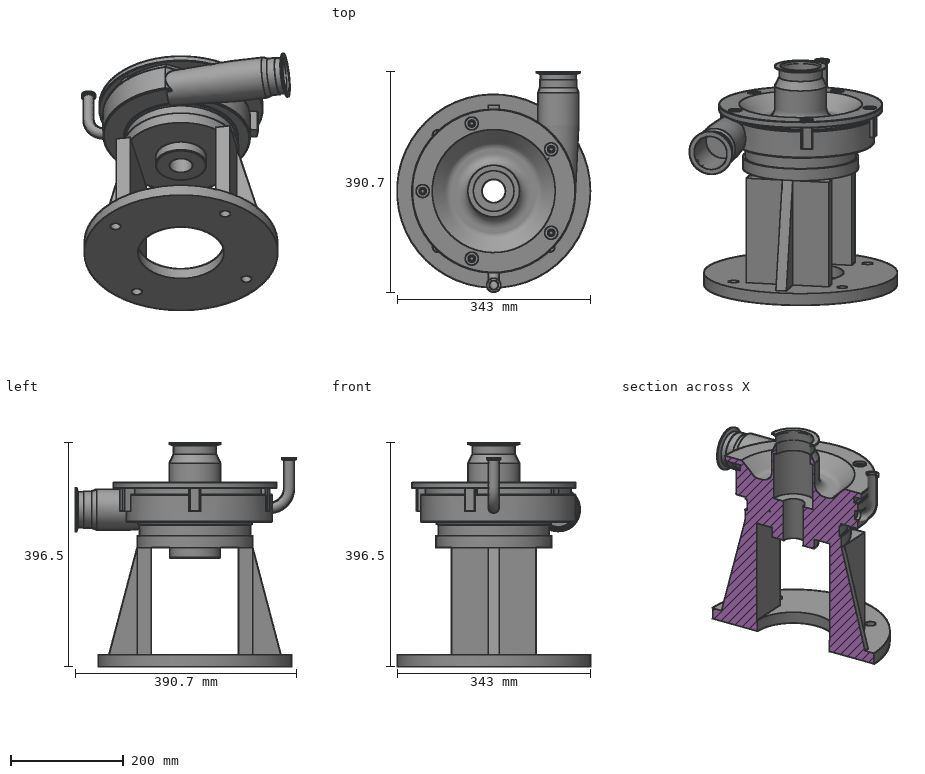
import cadquery as cq
import math

base_top = 21.5
hub_bottom = 192.5
leg_top = 211.0
ring_top = 232.0
collar_bottom = 251.0
body_bottom = 256.0
body_top = 306.0
cover_bottom = 316.0
cover_top = 327.0
inlet_top = 396.5
overlap = 1.0

base_radius = 171.5
base_bore_radius = 76.2
base_hole_circle = 139.7
base_hole_diameter = 18.5
base_hole_count = 4
first_base_hole_angle = 45.0

leg_width = 150.0
leg_thickness = 25.4
leg_outer_y = 102.5
rib_thickness = 19.0
rib_foot_y = 152.4

ring_radius = 102.5
mount_radius = 98.5
collar_radius = 101.5
collar_bevel = 2.0
hub_radius = 45.0
hub_chamfer = 1.5
shaft_bore_radius = 20.5

volute_start_radius = 121.5
volute_growth = 7.85
tongue_angle = 45.0
spiral_steps = 16
body_bevel = 2.0
neck_inset = 8.0

cover_radius = 145.0
cover_chamfer = 1.0
bolt_count = 5
bolt_circle = 125.8
first_bolt_angle = 36.0
counterbore_diameter = 23.0
counterbore_depth = 5.0
bolt_head_diameter = 12.5
bolt_head_height = 3.5
hex_socket_size = 7.0
hex_socket_depth = 2.5
boss_width = 21.0
boss_outer_radius = 137.0
boss_depth = 30.0
boss_bottom = 275.5
boss_chamfer = 2.5

bowl_rim_radius = 109.0
bowl_rim_chamfer = 2.0
bowl_cone_radius = 86.6
bowl_cone_z = 306.0
bowl_floor_outer = 76.0
bowl_floor_inner = 66.0
bowl_floor_z = 300.5
bowl_corner_rise = 1.5

inlet_radius = 45.7
inlet_neck_radius = 38.1
inlet_bore_radius = 36.0
inlet_chamber_radius = 41.0
inlet_cone_bottom = 361.0
inlet_cone_top = 376.5
inlet_step_z = 357.0
inlet_floor_z = 270.0
ferrule_rim = 2.0
ferrule_height = 4.5

outlet_x = 114.5
outlet_z = 278.5
outlet_end_y = 211.5
outlet_flange_radius = 38.8
outlet_neck_radius = 32.0
outlet_band_radius = 33.0
outlet_pipe_radius = 36.2
outlet_throat_radius = 30.5
outlet_bore_radius = 30.0
outlet_neck_y = 197.0
outlet_band_y = 183.0
outlet_pipe_y = 174.0
outlet_taper_y = 117.0

vent_y = -166.7
vent_radius = 9.5
vent_bore_radius = 7.9
vent_bend_radius = 35.0
vent_bend_top = 316.5
vent_top = 370.8
vent_ferrule_radius = 12.5
vent_ferrule_height = 5.0
vent_reach = 10.0


def cylinder(radius, bottom, top):
    return cq.Workplane("XY").workplane(offset=bottom).circle(radius).extrude(top - bottom)


def revolve_about_z(points):
    """Closed (radius, z) outline turned about the Z axis."""
    return cq.Workplane("XZ").polyline(points).close().revolve(360, (0, 0), (0, 1))


def make_base():
    plate = cylinder(base_radius, 0, base_top).cut(cylinder(base_bore_radius, 0, base_top))
    return (
        plate.faces(">Z").workplane(origin=(0, 0, base_top))
        .polarArray(base_hole_circle, first_base_hole_angle, 360, base_hole_count)
        .hole(base_hole_diameter)
    )


def make_leg():
    """Upright slab on the +Y side with its triangular rib."""
    slab = (
        cq.Workplane("XY", origin=(0, leg_outer_y - leg_thickness / 2, base_top - overlap))
        .rect(leg_width, leg_thickness)
        .extrude(leg_top - base_top + overlap)
    )
    rib = (
        cq.Workplane("YZ")
        .polyline([
            (leg_outer_y - overlap, base_top - overlap),
            (rib_foot_y, base_top - overlap),
            (rib_foot_y, base_top),
            (leg_outer_y, leg_top),
            (leg_outer_y - overlap, leg_top),
        ])
        .close()
        .extrude(rib_thickness / 2, both=True)
    )
    return slab.union(rib)


def make_support():
    """Ring on the legs, the collar under the body, and the shaft hub."""
    ring = revolve_about_z([
        (0, leg_top),
        (ring_radius, leg_top),
        (ring_radius, ring_top),
        (mount_radius, ring_top),
        (mount_radius, collar_bottom),
        (collar_radius, collar_bottom + collar_bevel),
        (collar_radius, body_bottom + overlap),
        (0, body_bottom + overlap),
    ])
    hub = cylinder(hub_radius, hub_bottom, ring_top).faces("<Z").chamfer(hub_chamfer)
    return ring.union(hub)


def volute_point(angle, inset):
    radius = volute_start_radius + volute_growth * (angle - 90) / 90 - inset
    turn = math.radians(angle)
    return (radius * math.cos(turn), radius * math.sin(turn))


def volute_outline(inset):
    """Wire of the spiral growing from the tongue round to the outlet on the +X side."""
    sweep = 360 - tongue_angle
    spiral = [volute_point(tongue_angle + sweep * i / spiral_steps, inset) for i in range(spiral_steps + 1)]
    return cq.Workplane("XY").spline(spiral).close().val()


def volute_layer(bottom, bottom_inset, top, top_inset):
    lower = volute_outline(bottom_inset).translate(cq.Vector(0, 0, bottom))
    upper = volute_outline(top_inset).translate(cq.Vector(0, 0, top))
    return cq.Workplane(cq.Solid.makeLoft([lower, upper], True))


def make_body():
    """Spiral body with bevelled rims and a narrower neck reaching the cover."""
    straight_bottom = body_bottom + body_bevel
    straight_top = body_top - body_bevel
    bottom_bevel = volute_layer(body_bottom, body_bevel, straight_bottom, 0)
    wall = volute_layer(straight_bottom, 0, straight_top, 0)
    top_bevel = volute_layer(straight_top, 0, body_top, body_bevel)
    neck = volute_layer(straight_top, neck_inset, cover_bottom + overlap, neck_inset)
    return bottom_bevel.union(wall).union(top_bevel).union(neck)


def bolt_angles():
    return [first_bolt_angle + 360 / bolt_count * i for i in range(bolt_count)]


def make_boss(angle):
    return (
        cq.Workplane("XY", origin=(boss_outer_radius - boss_depth / 2, 0, boss_bottom))
        .rect(boss_depth, boss_width)
        .extrude(cover_bottom + overlap - boss_bottom)
        .edges(">X and |Z")
        .chamfer(boss_chamfer)
        .faces("<Z")
        .edges(">X")
        .chamfer(boss_chamfer / 2)
        .rotate((0, 0, 0), (0, 0, 1), angle)
    )


def make_bolt_recess(angle):
    """Ring-shaped counterbore that leaves a socket-head bolt standing."""
    floor = cover_top - counterbore_depth
    head_top = floor + bolt_head_height
    recess = cylinder(counterbore_diameter / 2, floor, cover_top)
    head = cylinder(bolt_head_diameter / 2, floor, head_top)
    socket = (
        cq.Workplane("XY").workplane(offset=head_top - hex_socket_depth)
        .polygon(6, hex_socket_size / math.cos(math.pi / 6))
        .extrude(hex_socket_depth)
    )
    return (
        recess.cut(head).union(socket)
        .translate((bolt_circle, 0, 0))
        .rotate((0, 0, 0), (0, 0, 1), angle)
    )


def make_cover():
    return cylinder(cover_radius, cover_bottom, cover_top).edges().chamfer(cover_chamfer)


def make_bowl():
    """Space of the dish around the inlet pipe."""
    arc_radius = bowl_floor_inner - inlet_radius
    arc_mid = arc_radius * (1 - math.sqrt(0.5))
    corner_mid = ((bowl_cone_radius + bowl_floor_outer) / 2, bowl_floor_z + bowl_corner_rise)
    return (
        cq.Workplane("XZ")
        .moveTo(inlet_radius, cover_top)
        .lineTo(bowl_rim_radius, cover_top)
        .lineTo(bowl_rim_radius - bowl_rim_chamfer, cover_top - bowl_rim_chamfer)
        .lineTo(bowl_cone_radius, bowl_cone_z)
        .threePointArc(corner_mid, (bowl_floor_outer, bowl_floor_z))
        .lineTo(bowl_floor_inner, bowl_floor_z)
        .threePointArc(
            (inlet_radius + arc_mid, bowl_floor_z + arc_mid),
            (inlet_radius, bowl_floor_z + arc_radius),
        )
        .close()
        .revolve(360, (0, 0), (0, 1))
    )


def make_inlet():
    return revolve_about_z([
        (0, cover_bottom),
        (inlet_radius, cover_bottom),
        (inlet_radius, inlet_cone_bottom),
        (inlet_neck_radius, inlet_cone_top),
        (inlet_neck_radius, inlet_top - ferrule_height),
        (inlet_radius, inlet_top - ferrule_rim),
        (inlet_radius, inlet_top),
        (0, inlet_top),
    ])


def make_inlet_bore():
    return revolve_about_z([
        (0, hub_bottom),
        (shaft_bore_radius, hub_bottom),
        (shaft_bore_radius, inlet_floor_z),
        (inlet_chamber_radius, inlet_floor_z),
        (inlet_chamber_radius, inlet_step_z),
        (inlet_bore_radius, inlet_step_z),
        (inlet_bore_radius, inlet_top),
        (0, inlet_top),
    ])


def revolve_about_outlet(points):
    """Closed (radius, y) outline turned about the outlet pipe's axis."""
    return (
        cq.Workplane("XY", origin=(outlet_x, 0, outlet_z))
        .polyline(points).close().revolve(360, (0, 0), (0, 1))
    )


def make_outlet():
    return revolve_about_outlet([
        (0, 0),
        (outlet_throat_radius, 0),
        (outlet_pipe_radius, outlet_taper_y),
        (outlet_pipe_radius, outlet_pipe_y),
        (outlet_band_radius, outlet_band_y),
        (outlet_band_radius, outlet_neck_y),
        (outlet_neck_radius, outlet_neck_y),
        (outlet_neck_radius, outlet_end_y - ferrule_height),
        (outlet_flange_radius, outlet_end_y - ferrule_rim),
        (outlet_flange_radius, outlet_end_y),
        (0, outlet_end_y),
    ])


def make_outlet_bore():
    """Straight bore from the outlet's end to the start of its taper."""
    return revolve_about_outlet([
        (0, outlet_taper_y),
        (outlet_bore_radius, outlet_taper_y),
        (outlet_bore_radius, outlet_end_y),
        (0, outlet_end_y),
    ])


def sweep_vent(radius, inner_reach):
    """Round bar down the vent pipe, round its bend and on toward the body by inner_reach."""
    center_y = vent_y + vent_bend_radius
    half = vent_bend_radius * math.sqrt(0.5)
    bend_z = vent_bend_top - vent_bend_radius
    path = (
        cq.Workplane("YZ")
        .moveTo(vent_y, vent_top)
        .lineTo(vent_y, vent_bend_top)
        .threePointArc((center_y - half, vent_bend_top - half), (center_y, bend_z))
        .lineTo(center_y + inner_reach, bend_z)
    )
    return cq.Workplane("XY", origin=(0, vent_y, vent_top)).circle(radius).sweep(path)


def make_vent():
    ferrule = cylinder(vent_ferrule_radius, vent_top - vent_ferrule_height, vent_top)
    ferrule = ferrule.faces("<Z").chamfer(ferrule_rim).translate((0, vent_y, 0))
    return sweep_vent(vent_radius, vent_reach).union(ferrule)


result = make_base().union(make_leg()).union(make_leg().mirror("XZ"))
result = result.union(make_support()).union(make_body()).union(make_outlet())
for bolt_angle in bolt_angles():
    result = result.union(make_boss(bolt_angle))
result = result.union(make_cover()).union(make_inlet()).union(make_vent())
result = result.cut(make_bowl()).cut(make_inlet_bore()).cut(make_outlet_bore())
result = result.cut(sweep_vent(vent_bore_radius, overlap))
for bolt_angle in bolt_angles():
    result = result.cut(make_bolt_recess(bolt_angle))